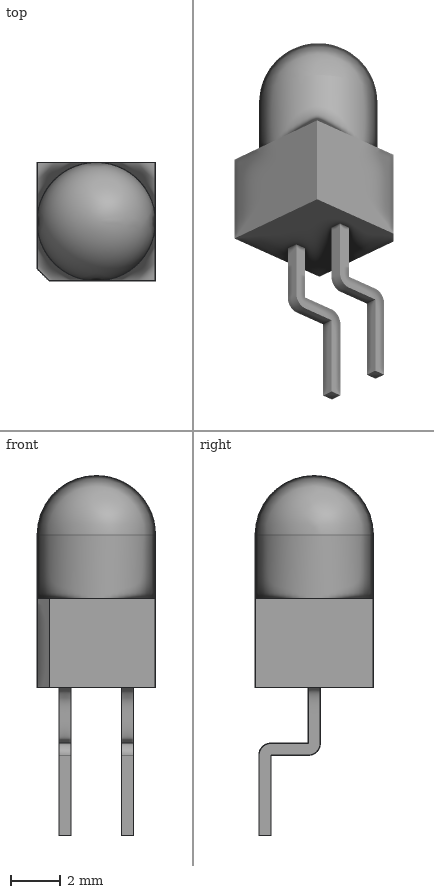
import cadquery as cq

total_height = 14.6
body_width = 4.8

lens_radius = body_width / 2
block_height = 3.6
lead_drop = 6.0
dome_start = total_height - lead_drop - lens_radius
corner_chamfer = 0.5

lead_thickness = 0.5
lead_pitch = 2.54
lead_offset = 2.0
foot_length = 3.25


def make_block():
    """Square base with one chamfered vertical edge at the -X, -Y corner."""
    block = cq.Workplane("XY").rect(body_width, body_width).extrude(block_height)
    return block.edges("|Z").edges("<X").edges("<Y").chamfer(corner_chamfer)


def make_lens():
    """Cylinder closed by a hemispherical dome, revolved about Z."""
    diagonal = lens_radius * 0.5 ** 0.5
    return (
        cq.Workplane("XZ")
        .lineTo(lens_radius, 0)
        .lineTo(lens_radius, dome_start)
        .threePointArc((diagonal, dome_start + diagonal), (0, dome_start + lens_radius))
        .close()
        .revolve(360, (0, 0), (0, 1))
    )


def make_lead(x_center):
    """Lead stepping towards -Y, with rounded outer and sharp inner bends."""
    back = lead_thickness / 2
    front = -back
    foot_back = back - lead_offset
    foot_front = front - lead_offset
    foot_bottom = -lead_drop
    step_bottom = foot_bottom + foot_length
    step_top = step_bottom + lead_thickness
    bend_mid = lead_thickness * 0.5 ** 0.5
    return (
        cq.Workplane("YZ", origin=(x_center - lead_thickness / 2, 0, 0))
        .moveTo(front, 0)
        .lineTo(front, step_top)
        .lineTo(foot_back, step_top)
        .threePointArc((foot_back - bend_mid, step_bottom + bend_mid), (foot_front, step_bottom))
        .lineTo(foot_front, foot_bottom)
        .lineTo(foot_back, foot_bottom)
        .lineTo(foot_back, step_bottom)
        .lineTo(front, step_bottom)
        .threePointArc((front + bend_mid, step_top - bend_mid), (back, step_top))
        .lineTo(back, 0)
        .close()
        .extrude(lead_thickness)
    )


result = make_block().union(make_lens())
for side in (-1, 1):
    result = result.union(make_lead(side * lead_pitch / 2))